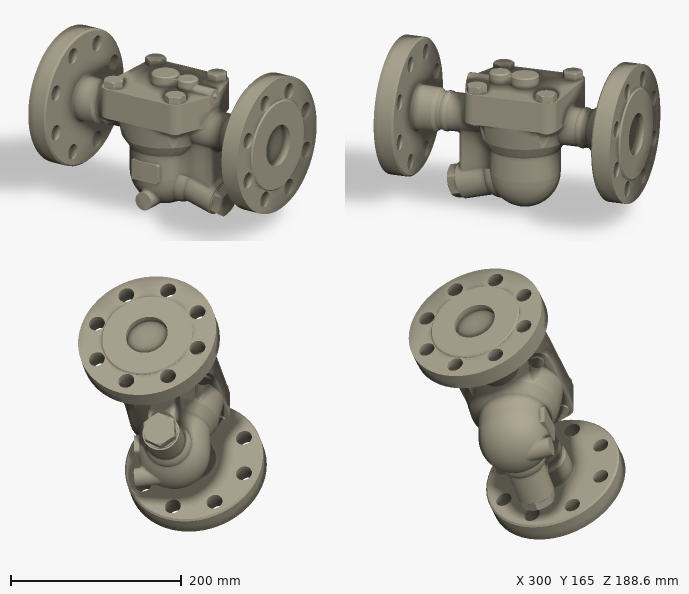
import cadquery as cq
import math

HALF_LENGTH = 150.0
BODY_X = -10.0

FLANGE_R = 82.5
FLANGE_BACK_X = 124.0
FLANGE_CHAMFER = 2.0
RAISED_FACE_R = 54.75
RAISED_FACE_HEIGHT = 2.0
RAISED_FACE_CHAMFER = 1.6
BOLT_CIRCLE_R = 65.0
BOLT_HOLE_D = 19.0
BOLT_HOLE_COUNT = 8
BORE_D = 50.0
BORE_DEPTH = 10.0

PIPE_R = 23.0
HUB_ROOT_R = 26.8
HUB_TIP_R = 26.0
HUB_TIP_X = 98.0
HUB_STEP_X = 94.0
HUB_FILLET = 3.0
BEAD_X = 85.0
BEAD_HALF_WIDTH = 4.0
BEAD_HEIGHT = 1.2

PLATE_BOTTOM_Z = 7.8
PLATE_TOP_Z = 44.0
PLATE_LEFT_X = -67.5
PLATE_NOSE_X = 60.0
PLATE_NOSE_HALF_WIDTH = 10.0
PLATE_HALF_WIDTH = 57.5
PLATE_SHOULDER_X = 43.5
PLATE_CORNER_R = 14.0
PLATE_PIPE_FILLET = 4.0

BOLT_OFFSET = 43.5
BOLT_FLATS = 22.0
BOLT_HEAD_HEIGHT = 8.7
BOLT_PAD_R = 8.5
BOLT_PAD_HEIGHT = 3.0
BOLT_SCALLOP_R = 9.9

CAP_TOP_Z = 56.8
LARGE_CAP_CHAMFER = 1.3
SMALL_CAP_CHAMFER = 1.6
LARGE_CAP_R = 16.5
SMALL_CAP_R = 12.5
SMALL_CAP_X = 21.6
WEB_TOP_Z = 53.8
WEB_WAIST_R = 6.5
CHANNEL_R = 8.3
CHANNEL_Z = 42.3
CHANNEL_TIP_R = 3.4
CHANNEL_TIP_LENGTH = 3.5

NECK_TOP_R = 57.6
NECK_BOTTOM_R = 51.4
NECK_BOTTOM_Z = -19.0
BODY_R = 42.0
BODY_TOP_Z = -32.7
SPHERE_Z = -62.4

PAD_LEFT_X = -28.0
PAD_RIGHT_X = 8.6
PAD_TOP_Z = -42.5
PAD_BOTTOM_Z = -66.4
PAD_FACE_Y = -44.0
PAD_CORNER_R = 3.0

DRAIN_R = 11.0
DRAIN_Z = -90.6
DRAIN_FACE_Y = -46.0
DRAIN_FILLET = 3.0

STRAINER_ANGLE = 15.0
STRAINER_R = 22.0
STRAINER_LENGTH = 80.0
STRAINER_FILLET = 15.0
GASKET_R = 20.0
GASKET_THICKNESS = 1.5
PLUG_FLATS = 36.0
PLUG_END = 92.8

RIB_END_X = 67.5
RIB_HALF_WIDTH = 16.7
RIB_CORNER_R = 6.0
RIB_BODY_FILLET = 16.5
RIB_BLEND = 4.0
RIB_SUNK_HEIGHT = 8.0

HEX_CORNER_ANGLE = 30.0

PICK_MARGIN = 1.0


def cylinder_z(x, y, radius, bottom, top):
    return cq.Workplane("XY", origin=(x, y, bottom)).circle(radius).extrude(top - bottom)


def hex_head(flats, height, rotation):
    """Hexagon on XY with its upper corners chamfered by turning."""
    corner_r = flats / math.sqrt(3)
    drop = (corner_r - flats / 2) * math.tan(math.radians(HEX_CORNER_ANGLE))
    prism = cq.Workplane("XY").polygon(6, 2 * corner_r).extrude(height)
    turned = (
        cq.Workplane("XZ")
        .polyline([(0, 0), (corner_r, 0), (corner_r, height - drop), (flats / 2, height), (0, height)])
        .close()
        .revolve(360, (0, 0), (0, 1))
    )
    return prism.intersect(turned).rotate((0, 0, 0), (0, 0, 1), rotation)


def pipe_end():
    """Flange, hub, bead and pipe on the +X side, turned about X."""
    face_x = HALF_LENGTH - RAISED_FACE_HEIGHT
    rim_r = FLANGE_R - FLANGE_CHAMFER
    end = (
        cq.Workplane("XY")
        .moveTo(0, 0)
        .lineTo(0, PIPE_R)
        .lineTo(BEAD_X - BEAD_HALF_WIDTH, PIPE_R)
        .threePointArc((BEAD_X, PIPE_R + BEAD_HEIGHT), (BEAD_X + BEAD_HALF_WIDTH, PIPE_R))
        .lineTo(HUB_STEP_X, PIPE_R)
        .lineTo(HUB_TIP_X, HUB_TIP_R)
        .lineTo(FLANGE_BACK_X - HUB_FILLET, HUB_ROOT_R)
        .radiusArc((FLANGE_BACK_X, HUB_ROOT_R + HUB_FILLET), -HUB_FILLET)
        .lineTo(FLANGE_BACK_X, rim_r)
        .lineTo(FLANGE_BACK_X + FLANGE_CHAMFER, FLANGE_R)
        .lineTo(face_x, FLANGE_R)
        .lineTo(face_x, RAISED_FACE_R)
        .lineTo(HALF_LENGTH - RAISED_FACE_CHAMFER, RAISED_FACE_R)
        .lineTo(HALF_LENGTH, RAISED_FACE_R - RAISED_FACE_CHAMFER)
        .lineTo(HALF_LENGTH, 0)
        .close()
        .revolve(360, (0, 0), (1, 0))
    )
    bore = cq.Workplane("YZ", origin=(HALF_LENGTH - BORE_DEPTH, 0, 0)).circle(BORE_D / 2).extrude(BORE_DEPTH)
    holes = (
        cq.Workplane("YZ", origin=(FLANGE_BACK_X, 0, 0))
        .polarArray(BOLT_CIRCLE_R, 180 / BOLT_HOLE_COUNT, 360, BOLT_HOLE_COUNT)
        .circle(BOLT_HOLE_D / 2)
        .extrude(HALF_LENGTH - FLANGE_BACK_X)
    )
    return end.cut(bore).cut(holes)


def box_between(low, high):
    return cq.selectors.BoxSelector(low, high)


def plate_with_pipe():
    """Cover and body plate with a tapered nose, blended onto the through pipe."""
    outline = [
        (PLATE_LEFT_X, -PLATE_HALF_WIDTH),
        (PLATE_SHOULDER_X, -PLATE_HALF_WIDTH),
        (PLATE_NOSE_X, -PLATE_NOSE_HALF_WIDTH),
        (PLATE_NOSE_X, PLATE_NOSE_HALF_WIDTH),
        (PLATE_SHOULDER_X, PLATE_HALF_WIDTH),
        (PLATE_LEFT_X, PLATE_HALF_WIDTH),
    ]
    plate = (
        cq.Workplane("XY", origin=(0, 0, PLATE_BOTTOM_Z))
        .polyline(outline)
        .close()
        .extrude(PLATE_TOP_Z - PLATE_BOTTOM_Z)
        .edges("|Z and (not >X)")
        .fillet(PLATE_CORNER_R)
    )
    pipe_end_x = BEAD_X - BEAD_HALF_WIDTH
    pipe = cq.Workplane("YZ", origin=(-pipe_end_x, 0, 0)).circle(PIPE_R).extrude(2 * pipe_end_x)
    joined = plate.union(pipe)
    joint_zone = box_between(
        (-pipe_end_x + PICK_MARGIN, -PIPE_R, PLATE_BOTTOM_Z + PICK_MARGIN),
        (pipe_end_x - PICK_MARGIN, PIPE_R, PIPE_R),
    )
    return joined.edges(joint_zone).fillet(PLATE_PIPE_FILLET)


def bolt_centres():
    return [(BODY_X + x * BOLT_OFFSET, y * BOLT_OFFSET) for x in (-1, 1) for y in (-1, 1)]


def bolts():
    """Four hexagon heads, neighbours turned by 90 degrees."""
    heads = cq.Workplane("XY")
    for x, y in bolt_centres():
        turn = 0 if (x - BODY_X) * y > 0 else 90
        heads = heads.add(hex_head(BOLT_FLATS, BOLT_HEAD_HEIGHT, turn).translate((x, y, PLATE_TOP_Z)))
    return heads.combine()


def bolt_pads():
    """Thin round pads on the underside of the plate."""
    return (
        cq.Workplane("XY", origin=(0, 0, PLATE_BOTTOM_Z - BOLT_PAD_HEIGHT))
        .pushPoints(bolt_centres())
        .circle(BOLT_PAD_R)
        .extrude(BOLT_PAD_HEIGHT)
    )


def cap_web():
    """Waisted web between the caps, its flanks tangent to both of them."""
    spacing = SMALL_CAP_X - BODY_X
    large_reach = LARGE_CAP_R + WEB_WAIST_R
    small_reach = SMALL_CAP_R + WEB_WAIST_R
    along = (spacing**2 + large_reach**2 - small_reach**2) / (2 * spacing)
    across = math.sqrt(large_reach**2 - along**2)
    large_share = LARGE_CAP_R / large_reach
    small_share = SMALL_CAP_R / small_reach
    large_touch_x = BODY_X + along * large_share
    small_touch_x = SMALL_CAP_X - (spacing - along) * small_share
    large_touch_y = across * large_share
    small_touch_y = across * small_share
    return (
        cq.Workplane("XY", origin=(0, 0, PLATE_TOP_Z))
        .moveTo(BODY_X, 0)
        .lineTo(large_touch_x, large_touch_y)
        .radiusArc((small_touch_x, small_touch_y), -WEB_WAIST_R)
        .lineTo(SMALL_CAP_X, 0)
        .lineTo(small_touch_x, -small_touch_y)
        .radiusArc((large_touch_x, -large_touch_y), -WEB_WAIST_R)
        .close()
        .extrude(WEB_TOP_Z - PLATE_TOP_Z)
    )


def round_cap(x, radius, chamfer):
    return cylinder_z(x, 0, radius, PLATE_TOP_Z, CAP_TOP_Z).faces(">Z").chamfer(chamfer)


def cover_caps():
    """Two round caps joined by a web, and the channel running to the nose."""
    large = round_cap(BODY_X, LARGE_CAP_R, LARGE_CAP_CHAMFER)
    small = round_cap(SMALL_CAP_X, SMALL_CAP_R, SMALL_CAP_CHAMFER)
    channel = (
        cq.Workplane("YZ", origin=(SMALL_CAP_X, 0, CHANNEL_Z))
        .circle(CHANNEL_R)
        .extrude(PLATE_NOSE_X - SMALL_CAP_X)
    )
    tip = cq.Workplane("XY").add(
        cq.Solid.makeCone(
            CHANNEL_TIP_R,
            0,
            CHANNEL_TIP_LENGTH,
            cq.Vector(PLATE_NOSE_X, 0, CHANNEL_Z),
            cq.Vector(1, 0, 0),
        )
    )
    return large.union(small).union(cap_web()).union(channel).union(tip)


def body():
    """Turned neck, cylinder and hemispherical bottom, with a scallop below each bolt."""
    profile = (
        cq.Workplane("XZ", origin=(BODY_X, 0, 0))
        .moveTo(0, PLATE_BOTTOM_Z)
        .lineTo(NECK_TOP_R, PLATE_BOTTOM_Z)
        .lineTo(NECK_BOTTOM_R, NECK_BOTTOM_Z)
        .lineTo(BODY_R, BODY_TOP_Z)
        .lineTo(BODY_R, SPHERE_Z)
        .radiusArc((0, SPHERE_Z - BODY_R), BODY_R)
        .close()
    )
    scallops = (
        cq.Workplane("XY", origin=(0, 0, NECK_BOTTOM_Z))
        .pushPoints(bolt_centres())
        .circle(BOLT_SCALLOP_R)
        .extrude(PLATE_BOTTOM_Z - NECK_BOTTOM_Z)
    )
    return profile.revolve(360, (0, 0), (0, 1)).cut(scallops)


def name_plate_pad():
    pad = (
        cq.Workplane("XZ")
        .moveTo((PAD_LEFT_X + PAD_RIGHT_X) / 2, (PAD_TOP_Z + PAD_BOTTOM_Z) / 2)
        .rect(PAD_RIGHT_X - PAD_LEFT_X, PAD_TOP_Z - PAD_BOTTOM_Z)
        .extrude(-PAD_FACE_Y)
    )
    return pad.edges("|Y and >X").fillet(PAD_CORNER_R)


def drain_boss():
    return cq.Workplane("XZ", origin=(BODY_X, 0, DRAIN_Z)).circle(DRAIN_R).extrude(-DRAIN_FACE_Y)


def along_strainer(shape):
    """Move a shape from the Z axis onto the strainer axis."""
    return shape.rotate((0, 0, 0), (0, 1, 0), 90 + STRAINER_ANGLE).translate((BODY_X, 0, SPHERE_Z))


def strainer_tube():
    """Inclined tube flared tangentially into the sphere, the flare only below the rib joint."""
    flare_centre_r = STRAINER_R + STRAINER_FILLET
    flare_end = math.sqrt((BODY_R + STRAINER_FILLET) ** 2 - flare_centre_r**2)
    touch = BODY_R / (BODY_R + STRAINER_FILLET)
    flare = (
        cq.Workplane("XZ")
        .lineTo(flare_centre_r * touch, 0)
        .lineTo(flare_centre_r * touch, flare_end * touch)
        .radiusArc((STRAINER_R, flare_end), -STRAINER_FILLET)
        .lineTo(0, flare_end)
        .close()
        .revolve(360, (0, 0), (0, 1))
    )
    joint_height = math.sqrt(STRAINER_R**2 - RIB_HALF_WIDTH**2)
    below_joint = (
        cq.Workplane("XY")
        .box(2 * BODY_R, 2 * BODY_R, BODY_R + STRAINER_FILLET, centered=(False, True, False))
        .translate((-joint_height, 0, 0))
    )
    tube = cylinder_z(0, 0, STRAINER_R, 0, STRAINER_LENGTH)
    return along_strainer(tube.union(flare.intersect(below_joint)))


def strainer_plug():
    plug_start = STRAINER_LENGTH + GASKET_THICKNESS
    gasket = cylinder_z(0, 0, GASKET_R, STRAINER_LENGTH, plug_start)
    head = hex_head(PLUG_FLATS, PLUG_END - plug_start, 0).translate((0, 0, plug_start))
    return along_strainer(gasket.union(head))


def passage_rib():
    """Upright rib from the strainer to the pipe, flared into the body cylinder."""
    flare_centre_y = RIB_HALF_WIDTH + RIB_BODY_FILLET
    flare_reach = BODY_R + RIB_BODY_FILLET
    flare_end_x = math.sqrt(flare_reach**2 - flare_centre_y**2)
    touch_x = BODY_X + flare_end_x * BODY_R / flare_reach
    touch_y = flare_centre_y * BODY_R / flare_reach
    flare_end_x += BODY_X
    corner_x = RIB_END_X - RIB_CORNER_R
    corner_y = RIB_HALF_WIDTH - RIB_CORNER_R
    floor_z = SPHERE_Z - (RIB_END_X - BODY_X) * math.tan(math.radians(STRAINER_ANGLE))
    rib = (
        cq.Workplane("XY", origin=(0, 0, floor_z))
        .moveTo(BODY_X, -touch_y)
        .lineTo(touch_x, -touch_y)
        .radiusArc((flare_end_x, -RIB_HALF_WIDTH), RIB_BODY_FILLET)
        .lineTo(corner_x, -RIB_HALF_WIDTH)
        .radiusArc((RIB_END_X, -corner_y), -RIB_CORNER_R)
        .lineTo(RIB_END_X, corner_y)
        .radiusArc((corner_x, RIB_HALF_WIDTH), -RIB_CORNER_R)
        .lineTo(flare_end_x, RIB_HALF_WIDTH)
        .radiusArc((touch_x, touch_y), RIB_BODY_FILLET)
        .lineTo(BODY_X, touch_y)
        .close()
        .extrude(-floor_z)
    )
    keep_size = 4 * BODY_R
    keep = (
        cq.Workplane("XY")
        .box(keep_size, keep_size, keep_size, centered=(False, True, False))
        .translate((0, 0, RIB_SUNK_HEIGHT))
        .rotate((0, 0, 0), (0, 1, 0), STRAINER_ANGLE)
        .translate((BODY_X, 0, SPHERE_Z))
    )
    return rib.intersect(keep)


def body_with_drain():
    """Body with the drain boss filleted onto its spherical bottom."""
    joined = body().union(drain_boss())
    joint_zone = box_between(
        (BODY_X - DRAIN_R, -BODY_R, DRAIN_Z - DRAIN_R),
        (BODY_X + DRAIN_R, -PICK_MARGIN, DRAIN_Z + DRAIN_R),
    )
    return joined.edges(joint_zone).edges("not %CIRCLE").edges("not %LINE").fillet(DRAIN_FILLET)


def castings():
    """Body, plate, strainer and rib, with the rib blended into the pipe and the strainer."""
    joined = plate_with_pipe().union(body_with_drain()).union(strainer_tube()).union(passage_rib())
    blend_start_x = BODY_X + BODY_R + RIB_BODY_FILLET / 2
    pipe_joint = box_between((blend_start_x, -PIPE_R, -PIPE_R), (RIB_END_X + PICK_MARGIN, PIPE_R, -PIPE_R / 2))
    joined = joined.edges(pipe_joint).fillet(RIB_BLEND)
    strainer_joint = box_between(
        (blend_start_x, -STRAINER_R, SPHERE_Z - STRAINER_R / 2),
        (RIB_END_X + PICK_MARGIN, STRAINER_R, SPHERE_Z + STRAINER_R / 2),
    )
    return joined.edges(strainer_joint).fillet(RIB_BLEND)


right_end = pipe_end()
result = castings()
for part in (
    right_end,
    right_end.mirror("YZ"),
    bolts(),
    bolt_pads(),
    cover_caps(),
    name_plate_pad(),
    strainer_plug(),
):
    result = result.union(part)